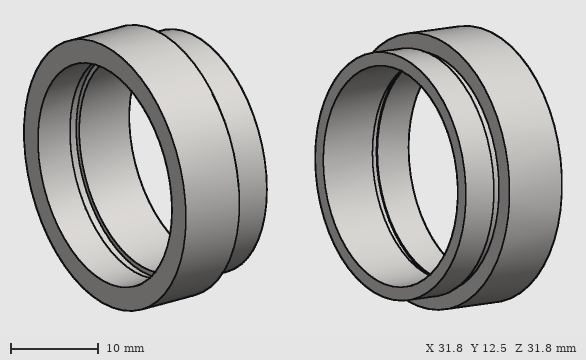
import cadquery as cq

length = 12.5
flange_diameter = 31.75
flange_length = 7.5
groove_diameter = 27.75
groove_width = 1.02
spigot_diameter = 28.5
bore_diameter = 25.4
counterbore_diameter = 26.23
counterbore_depth = 5.5
undercut_diameter = 26.6
undercut_width = 1.02


def cylinder(diameter, start, end):
    """Solid cylinder along +Y between two distances from the front face."""
    plane = cq.Workplane("XZ", origin=(0, start, 0))
    return plane.circle(diameter / 2).extrude(start - end)


groove_end = flange_length + groove_width
flange = cylinder(flange_diameter, 0, flange_length)
groove_neck = cylinder(groove_diameter, flange_length, groove_end)
spigot = cylinder(spigot_diameter, groove_end, length)
body = flange.union(groove_neck).union(spigot)

bore = cylinder(bore_diameter, 0, length)
counterbore = cylinder(counterbore_diameter, 0, counterbore_depth)
undercut = cylinder(undercut_diameter, counterbore_depth - undercut_width, counterbore_depth)

result = body.cut(bore).cut(counterbore).cut(undercut)